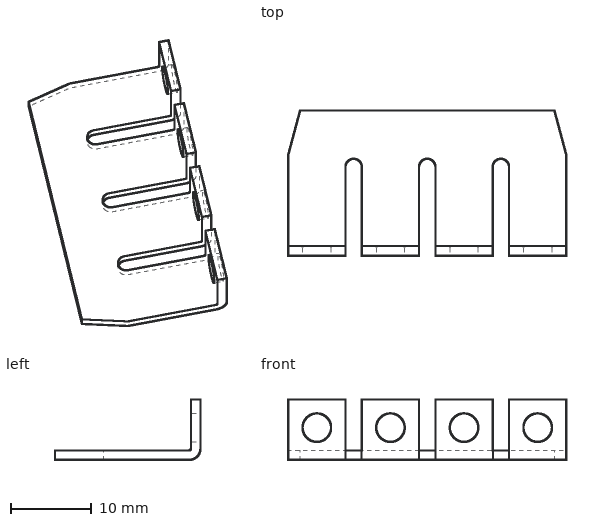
import cadquery as cq
import math

thickness = 1.2
bend_inner_radius = 0.2
bend_outer_radius = bend_inner_radius + thickness

depth = 18.0
height = 7.5

tab_count = 4
tab_width = 7.1
slot_width = 2.0
slot_end_to_back = 6.0
tab_pitch = tab_width + slot_width
width = tab_count * tab_width + (tab_count - 1) * slot_width

taper_length = 5.5
taper_angle = 15.0
taper_inset = taper_length * math.tan(math.radians(taper_angle))

hole_diameter = 3.5
hole_height = 4.0


def bent_sheet():
    """L-shaped sheet: base along Y, wall rising at Y = 0, left edge at X = 0."""
    profile = (
        cq.Workplane("YZ")
        .moveTo(depth, 0)
        .lineTo(depth, thickness)
        .lineTo(bend_outer_radius, thickness)
        .radiusArc((thickness, bend_outer_radius), bend_inner_radius)
        .lineTo(thickness, height)
        .lineTo(0, height)
        .lineTo(0, bend_outer_radius)
        .radiusArc((bend_outer_radius, 0), -bend_outer_radius)
        .close()
    )
    return profile.extrude(width)


def corner_taper(edge_x, inward):
    """Wedge removed from a back corner; inward is the X direction into the sheet."""
    return (
        cq.Workplane("XY")
        .moveTo(edge_x, depth)
        .lineTo(edge_x + inward * taper_inset, depth)
        .lineTo(edge_x, depth - taper_length)
        .close()
        .extrude(thickness)
    )


def slot(center_x):
    """Round-ended slot, open at the front, splitting the wall and base."""
    slot_radius = slot_width / 2
    slot_end = depth - slot_end_to_back
    arc_start = slot_end - slot_radius
    return (
        cq.Workplane("XY")
        .moveTo(center_x - slot_radius, 0)
        .lineTo(center_x - slot_radius, arc_start)
        .threePointArc((center_x, slot_end), (center_x + slot_radius, arc_start))
        .lineTo(center_x + slot_radius, 0)
        .close()
        .extrude(height)
    )


def tab_hole(center_x):
    """Cylinder along Y through the wall of one tab."""
    return (
        cq.Workplane("XZ")
        .center(center_x, hole_height)
        .circle(hole_diameter / 2)
        .extrude(-thickness)
    )


bracket = bent_sheet()
bracket = bracket.cut(corner_taper(0, 1))
bracket = bracket.cut(corner_taper(width, -1))

for index in range(tab_count - 1):
    bracket = bracket.cut(slot(tab_width + slot_width / 2 + index * tab_pitch))

for index in range(tab_count):
    bracket = bracket.cut(tab_hole(tab_width / 2 + index * tab_pitch))

result = bracket